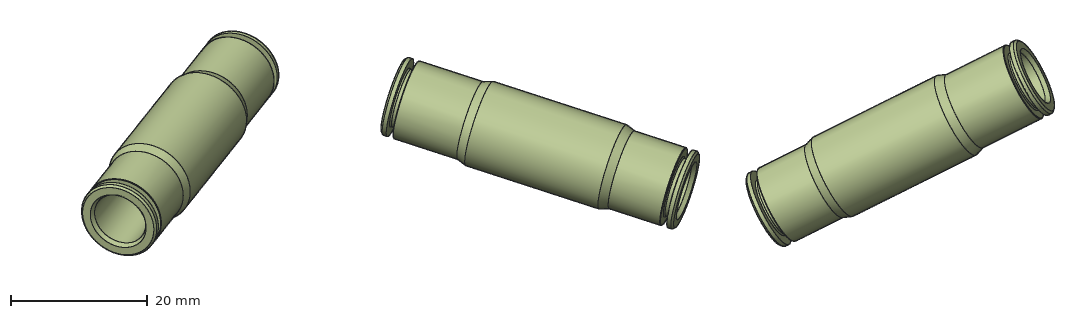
import cadquery as cq

length = 45.5
body_diameter = 13.0
half_length = length / 2

sleeve_diameter = 12.0
front_sleeve_offset = 10.05
rear_sleeve_offset = 11.9
taper_length = 1.4
body_end_offset = 1.95
sleeve_chamfer = 0.1

flange_thickness = 0.95
flange_chamfer = 0.3
neck_diameter = 8.9
flange_flare_diameter = 9.1
flange_flare_length = 0.27
body_flare_diameter = 9.37
body_flare_length = 0.2

bore_diameter = 8.15
mouth_diameter = 8.9
mouth_depth = 0.7
bore_depth = 15.92


def revolve_about_y(profile):
    """Turn a closed list of (radius, y) points about the Y axis."""
    return cq.Workplane("XY").polyline(profile).close().revolve(360, (0, 0, 0), (0, 1, 0))


def make_body():
    body_radius = body_diameter / 2
    sleeve_radius = sleeve_diameter / 2
    end = half_length - body_end_offset
    front_taper = -half_length + front_sleeve_offset
    rear_taper = half_length - rear_sleeve_offset
    return revolve_about_y([
        (0, -end),
        (sleeve_radius - sleeve_chamfer, -end),
        (sleeve_radius, -end + sleeve_chamfer),
        (sleeve_radius, front_taper),
        (body_radius, front_taper + taper_length),
        (body_radius, rear_taper - taper_length),
        (sleeve_radius, rear_taper),
        (sleeve_radius, end - sleeve_chamfer),
        (sleeve_radius - sleeve_chamfer, end),
        (0, end),
    ])


def make_rear_collar():
    flange_radius = sleeve_diameter / 2
    flange_inner_face = half_length - flange_thickness
    body_end = half_length - body_end_offset
    return revolve_about_y([
        (0, body_end),
        (body_flare_diameter / 2, body_end),
        (neck_diameter / 2, body_end + body_flare_length),
        (neck_diameter / 2, flange_inner_face - flange_flare_length),
        (flange_flare_diameter / 2, flange_inner_face),
        (flange_radius, flange_inner_face),
        (flange_radius, half_length - flange_chamfer),
        (flange_radius - flange_chamfer, half_length),
        (0, half_length),
    ])


def make_rear_socket():
    return revolve_about_y([
        (0, half_length - bore_depth),
        (bore_diameter / 2, half_length - bore_depth),
        (bore_diameter / 2, half_length - mouth_depth),
        (mouth_diameter / 2, half_length),
        (0, half_length),
    ])


def at_both_ends(rear_feature):
    return rear_feature.union(rear_feature.mirror("XZ"))


result = make_body().union(at_both_ends(make_rear_collar())).cut(at_both_ends(make_rear_socket()))